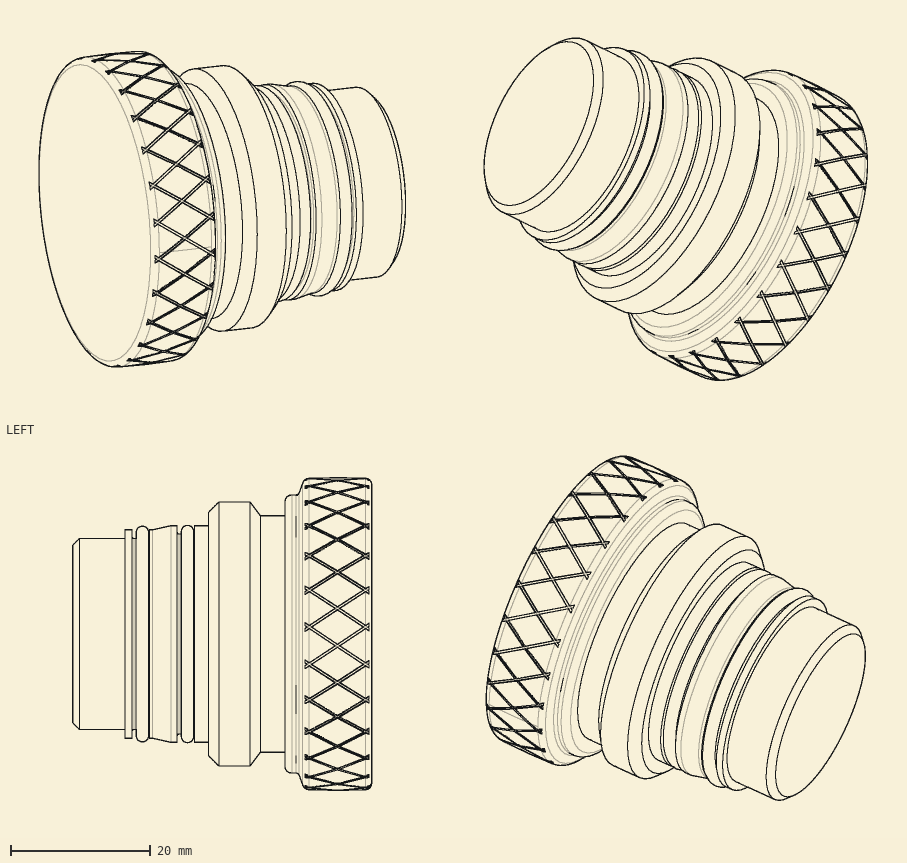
import cadquery as cq
import math

length = 43.0

knob_dia = 45.0
knob_end_dia = 44.75
rim_back_y = 9.7
knob_rounding = 1.0

collar_dia = 40.0
collar_root_y = 10.58
collar_back_y = 12.5
collar_rounding = 1.0
collar_root_rounding = 0.5

neck_dia = 34.0
neck_back_y = 16.0
shoulder_dia = 38.0
shoulder_front_y = 17.5
shoulder_back_y = 23.5
shoulder_chamfer = 1.5

land_dia = 31.2
small_land_dia = 30.0
groove_width = 2.48
large_groove_dia = 28.8
large_groove_y = 25.5
taper_front_y = 28.9
taper_back_y = 31.5
small_groove_y = 32.0
groove_corner_rounding = 0.25

spigot_dia = 27.5
flange_back_y = 35.5
spigot_chamfer = 1.0

ring_thickness = 1.8
large_ring_dia = 31.28
small_ring_dia = 31.05
ring_offset = 1.0

knurl_count = 26
knurl_width = 0.35
knurl_floor_dia = 44.4
knurl_middle_y = 4.95
knurl_half_diamond = 4.1
knurl_phase = 4.35
blade_height = 2.7
blade_length = 15.3


def round_rim(body, dia, y, radius):
    """Fillet the circular edge of the given diameter at height y along the axis."""
    tolerance = 0.005
    rims = [
        edge
        for edge in body.edges("%CIRCLE").vals()
        if abs(edge.radius() - dia / 2) < tolerance and abs(edge.Center().y - y) < tolerance
    ]
    return body.newObject(rims).fillet(radius)


def knob():
    """Crowned knob with its collar, before knurling."""
    body = (
        cq.Workplane("XY")
        .lineTo(knob_end_dia / 2, 0)
        .threePointArc((knob_dia / 2, rim_back_y / 2), (knob_end_dia / 2, rim_back_y))
        .lineTo(collar_dia / 2, collar_root_y)
        .lineTo(collar_dia / 2, collar_back_y)
        .lineTo(0, collar_back_y)
        .close()
        .revolve(360, (0, 0, 0), (0, 1, 0))
    )
    body = round_rim(body, knob_end_dia, 0, knob_rounding)
    body = round_rim(body, knob_end_dia, rim_back_y, knob_rounding)
    body = round_rim(body, collar_dia, collar_root_y, collar_root_rounding)
    return round_rim(body, collar_dia, collar_back_y, collar_rounding)


def knurl_blades(direction):
    """Cutting blades around the rim, leaning one way (1) or the other (-1)."""
    pitch_angle = 360 / knurl_count
    half_diamond_arc = knob_dia / 2 * math.radians(pitch_angle / 2)
    lean = math.degrees(math.atan(half_diamond_arc / knurl_half_diamond))
    blade = (
        cq.Workplane("XY")
        .box(blade_height, blade_length, knurl_width)
        .rotate((0, 0, 0), (1, 0, 0), direction * lean)
        .translate((knob_dia / 2, knurl_middle_y, 0))
    )
    floor = cq.Workplane("XZ", origin=(0, knurl_middle_y, 0)).circle(knurl_floor_dia / 2)
    blade = blade.cut(floor.extrude(blade_length, both=True))
    return [
        blade.rotate((0, 0, 0), (0, 1, 0), i * pitch_angle - knurl_phase).val()
        for i in range(knurl_count)
    ]


def stem():
    """Everything behind the collar: neck, shoulder, sealing section, flange and spigot."""
    large_groove_end = large_groove_y + groove_width
    small_groove_end = small_groove_y + groove_width
    steps = [
        (neck_dia, collar_back_y),
        (neck_dia, neck_back_y),
        (shoulder_dia, shoulder_front_y),
        (shoulder_dia, shoulder_back_y - shoulder_chamfer),
        (shoulder_dia - 2 * shoulder_chamfer, shoulder_back_y),
        (land_dia, shoulder_back_y),
        (land_dia, large_groove_y),
        (large_groove_dia, large_groove_y),
        (large_groove_dia, large_groove_end),
        (land_dia, large_groove_end),
        (land_dia, taper_front_y),
        (small_land_dia, taper_back_y),
        (small_land_dia, small_groove_y),
        (spigot_dia, small_groove_y),
        (spigot_dia, small_groove_end),
        (small_land_dia, small_groove_end),
        (small_land_dia, flange_back_y),
        (spigot_dia, flange_back_y),
        (spigot_dia, length - spigot_chamfer),
        (spigot_dia - 2 * spigot_chamfer, length),
        (0, length),
    ]
    outline = cq.Workplane("XY").moveTo(0, collar_back_y)
    for dia, y in steps:
        outline = outline.lineTo(dia / 2, y)
    body = outline.close().revolve(360, (0, 0, 0), (0, 1, 0))
    body = round_rim(body, large_groove_dia, large_groove_end, groove_corner_rounding)
    return round_rim(body, spigot_dia, small_groove_end, groove_corner_rounding)


def sealing_ring(outer_dia, y):
    """Round ring lying in a groove, centred at height y along the axis."""
    tube_radius = ring_thickness / 2
    pitch_radius = outer_dia / 2 - tube_radius
    section = cq.Plane(origin=(pitch_radius, y, 0), xDir=(-1, 0, 0), normal=(0, 0, 1))
    return (
        cq.Workplane(section)
        .circle(tube_radius)
        .revolve(360, (pitch_radius, 0, 0), (pitch_radius, 1, 0))
    )


body = knob().union(stem())
body = body.union(sealing_ring(large_ring_dia, large_groove_y + ring_offset))
body = body.union(sealing_ring(small_ring_dia, small_groove_y + ring_offset))
for direction in (1, -1):
    body = body.newObject([body.val().cut(*knurl_blades(direction))])
result = body.solids()